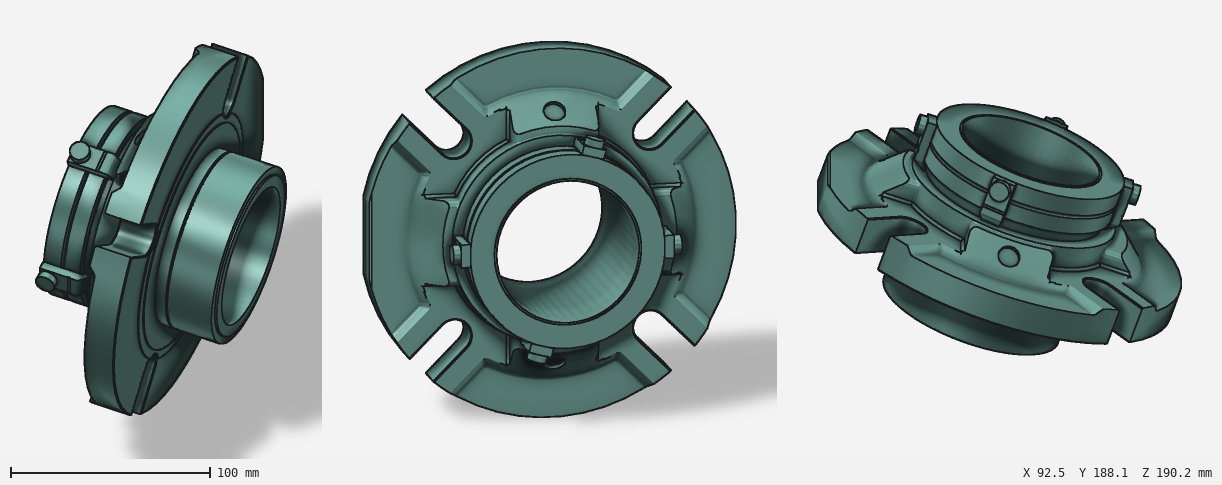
import cadquery as cq
import math

FRONT_FACE = 0.5
COLLAR_END = 9.9
RING_START = 11.8
RING_END = 20.4
NECK_START = 21.1
HUB_FACE = 26.3
LUG_FACE = 27.0
SHORT_LUG_FACE = 30.5
PAD_FACE = 39.0
SECTOR_FACE = 42.8
FLANGE_BACK = 59.0
OUTER_BOSS_BACK = 59.5
INNER_BOSS_BACK = 60.1
REAR_GROOVE_START = 66.2
REAR_GROOVE_END = 67.2
REAR_SHOULDER = 91.3
REAR_END = 92.5

BORE_RADIUS = 73.0 / 2
LIP_RADIUS = 37.7
COLLAR_RADIUS = 99.9 / 2
COLLAR_GROOVE_RADIUS = 87.7 / 2
SMALL_GROOVE_RADIUS = 90.5 / 2
NECK_RADIUS = 93.6 / 2
REAR_LIP_RADIUS = 42.6
HUB_RADIUS = 54.0
OUTER_BOSS_RADIUS = 65.3
INNER_BOSS_RADIUS = 120.0 / 2

FLANGE_RADIUS = 95.1
FLAT_DISTANCE = 93.0
FLAT_BEVEL_DEPTH = 1.3
RIM_CHAMFER = 0.5
SLOT_WIDTH = 17.0
SLOT_CHAMFER = 0.5
SLOT_CENTRE_RADIUS = 71.0
SLOT_ANGLES = (45, 135, 225, 315)
PAD_HALF_WIDTH = 19.5
PAD_BACK = FLANGE_BACK - RIM_CHAMFER
PAD_RISE = SECTOR_FACE - PAD_FACE

CONE_TOP_RADIUS = 58.6
CONE_BASE_RADIUS = 74.5
CONE_SLOPE = (CONE_BASE_RADIUS - CONE_TOP_RADIUS) / (SECTOR_FACE - LUG_FACE)
CONE_PAD_RADIUS = CONE_TOP_RADIUS + CONE_SLOPE * (PAD_FACE - LUG_FACE)
ROOT_FILLET = 3.5
PAD_CORNER_FILLET = 3.5
PAD_TOP_FILLET = 1.0

EDGE_MARGIN = 0.2
PAD_EDGE_INNER = 60.9
PAD_EDGE_OUTER = 89.5

LUG_END_FACES = {0: LUG_FACE, 90: SHORT_LUG_FACE, 180: LUG_FACE, 270: LUG_FACE}
LUG_HALF_WIDTH = 22.0
LUG_CORNER_FILLET = 3.5
LUG_ROOT_FILLET = 1.5
LUG_HOLE_ANGLES = (0, 180)
LUG_HOLE_DIAMETER = 11.0
LUG_HOLE_DEPTH = 2.3
LUG_HOLE_X = 33.3

CLIP_ANGLES = (15, 90, 195, 270)
CLIP_FRONT = 0.48
CLIP_WIDTH = 11.8
CLIP_TIP_WIDTH = 9.5
CLIP_BOTTOM = 49.8
CLIP_TOP = 54.6
CLIP_BEND_X = 21.5
CLIP_BEND_FILLET = 1.9
CLIP_TIP_TOP = 48.3
CLIP_GROOVE_X = 16.5
CLIP_GROOVE_WIDTH = 1.3
CLIP_GROOVE_DEPTH = 0.4
SCREW_DIAMETER = 10.0
SCREW_X = 5.1
SCREW_TOP = 58.6


def turned(profile):
    """Solid of revolution about X from (x, radius) points."""
    return cq.Workplane("XY").polyline(profile).close().revolve(360, (0, 0, 0), (1, 0, 0))


def disc(radius, start, end):
    """Round disc about X between two axial positions."""
    return cq.Workplane("YZ", origin=(start, 0, 0)).circle(radius).extrude(end - start)


def around(shape, angle):
    """Turn a shape about the X axis, from the +Z direction towards -Y."""
    return shape.rotate((0, 0, 0), (1, 0, 0), angle)


def make_flange():
    """Flange disc with raised pads and the conical lugs, before the slots are cut."""
    blank = turned([
        (LUG_FACE, 0),
        (LUG_FACE, CONE_TOP_RADIUS),
        (SECTOR_FACE, CONE_BASE_RADIUS),
        (SECTOR_FACE, FLANGE_RADIUS),
        (FLANGE_BACK - RIM_CHAMFER, FLANGE_RADIUS),
        (FLANGE_BACK, FLANGE_RADIUS - RIM_CHAMFER),
        (FLANGE_BACK, 0),
    ])
    rim = disc(FLANGE_RADIUS, PAD_FACE, PAD_BACK)
    for angle in SLOT_ANGLES:
        blank = blank.union(around(make_pad(), angle).intersect(rim))
    blank = blank.cut(make_lug_surround())
    corners = edges_centred_in(blank, (PAD_FACE + EDGE_MARGIN, SECTOR_FACE - EDGE_MARGIN))
    blank = corners.fillet(PAD_CORNER_FILLET)
    roots = edges_centred_in(blank, (SECTOR_FACE - EDGE_MARGIN, SECTOR_FACE + EDGE_MARGIN))
    blank = roots.fillet(ROOT_FILLET)
    tops = edges_centred_in(blank, (PAD_FACE - EDGE_MARGIN, PAD_FACE + EDGE_MARGIN))
    return tops.fillet(PAD_TOP_FILLET)


def edges_centred_in(shape, axial_range):
    """Edges of the pads and cone, between hub and rim, whose centres lie in an axial range."""
    start, end = axial_range
    chosen = []
    for edge in shape.edges().vals():
        centre = edge.Center()
        radius = math.hypot(centre.y, centre.z)
        if start < centre.x < end and PAD_EDGE_INNER < radius < PAD_EDGE_OUTER:
            chosen.append(edge)
    return shape.newObject(chosen)


def make_lug_surround():
    """Space around the four lugs, in front of the pads."""
    space = disc(FLANGE_RADIUS, LUG_FACE, PAD_FACE)
    for angle, face in LUG_END_FACES.items():
        space = space.cut(around(make_lug_block(face), angle))
    return space


def make_flat_cutter():
    """Prism that leaves a flat on the +Y rim, with both long edges bevelled."""
    bevel_start = FLAT_DISTANCE - FLAT_BEVEL_DEPTH
    return (
        cq.Workplane("XY", origin=(0, 0, -FLANGE_RADIUS))
        .moveTo(SECTOR_FACE, bevel_start)
        .lineTo(SECTOR_FACE + RIM_CHAMFER, FLAT_DISTANCE)
        .lineTo(FLANGE_BACK - RIM_CHAMFER, FLAT_DISTANCE)
        .lineTo(FLANGE_BACK, bevel_start)
        .lineTo(FLANGE_BACK, FLANGE_RADIUS)
        .lineTo(SECTOR_FACE, FLANGE_RADIUS)
        .close()
        .extrude(2 * FLANGE_RADIUS)
    )


def make_pad():
    """Raised band with sloping sides that runs outward along +Z."""
    inner = CONE_PAD_RADIUS - PAD_HALF_WIDTH
    foot = PAD_HALF_WIDTH + PAD_RISE
    return (
        cq.Workplane("XY", origin=(0, 0, inner))
        .moveTo(PAD_FACE, -PAD_HALF_WIDTH)
        .lineTo(PAD_FACE, PAD_HALF_WIDTH)
        .lineTo(SECTOR_FACE, foot)
        .lineTo(PAD_BACK, foot)
        .lineTo(PAD_BACK, -foot)
        .lineTo(SECTOR_FACE, -foot)
        .close()
        .extrude(FLANGE_RADIUS)
    )


def slot_outline(width, x):
    """Wire of the open slot on the +Z side, in a plane across the axis."""
    half = width / 2
    return (
        cq.Workplane("YZ", origin=(x, 0, 0))
        .moveTo(-half, FLANGE_RADIUS + half)
        .lineTo(-half, SLOT_CENTRE_RADIUS)
        .threePointArc((0, SLOT_CENTRE_RADIUS - half), (half, SLOT_CENTRE_RADIUS))
        .lineTo(half, FLANGE_RADIUS + half)
        .close()
    )


def make_slot():
    """Slot cutter that widens at both faces to chamfer the slot edges."""
    mouth_width = SLOT_WIDTH + 2 * SLOT_CHAMFER
    slot = slot_outline(SLOT_WIDTH, PAD_FACE).extrude(FLANGE_BACK - PAD_FACE)
    front = slot_outline(mouth_width, PAD_FACE).extrude(SLOT_CHAMFER, taper=45)
    back = slot_outline(mouth_width, FLANGE_BACK).extrude(-SLOT_CHAMFER, taper=45)
    boss_gap = slot_outline(mouth_width, FLANGE_BACK).extrude(INNER_BOSS_BACK - FLANGE_BACK)
    return slot.union(front).union(back).union(boss_gap)


def make_lug_block(face):
    """Block that bounds the +Z lug, with rounded front corners and flared roots."""
    side = LUG_HALF_WIDTH
    foot = side + LUG_ROOT_FILLET
    front_start = side - LUG_CORNER_FILLET
    corner_end = face + LUG_CORNER_FILLET
    root_start = PAD_FACE - LUG_ROOT_FILLET
    return (
        cq.Workplane("XY")
        .moveTo(PAD_FACE, -foot)
        .radiusArc((root_start, -side), LUG_ROOT_FILLET)
        .lineTo(corner_end, -side)
        .radiusArc((face, -front_start), LUG_CORNER_FILLET)
        .lineTo(face, front_start)
        .radiusArc((corner_end, side), LUG_CORNER_FILLET)
        .lineTo(root_start, side)
        .radiusArc((PAD_FACE, foot), LUG_ROOT_FILLET)
        .close()
        .extrude(FLANGE_RADIUS)
    )


def make_hub():
    """Round hub with a concave fillet where it meets the pads."""
    return (
        cq.Workplane("XY")
        .moveTo(HUB_FACE, 0)
        .lineTo(HUB_FACE, HUB_RADIUS)
        .lineTo(PAD_FACE - LUG_ROOT_FILLET, HUB_RADIUS)
        .radiusArc((PAD_FACE, HUB_RADIUS + LUG_ROOT_FILLET), LUG_ROOT_FILLET)
        .lineTo(PAD_FACE, 0)
        .close()
        .revolve(360, (0, 0, 0), (1, 0, 0))
    )


def blend_lugs(shape):
    """Fillet the corner between each lug and the round side of the hub."""
    seams = []
    for edge in shape.edges().vals():
        start = edge.startPoint()
        end = edge.endPoint()
        on_hub = all(
            abs(math.hypot(point.y, point.z) - HUB_RADIUS) < EDGE_MARGIN
            and point.x > HUB_FACE + EDGE_MARGIN
            for point in (start, end)
        )
        if on_hub and edge.Center().x < PAD_FACE - LUG_ROOT_FILLET - EDGE_MARGIN:
            seams.append(edge)
    return shape.newObject(seams).fillet(LUG_ROOT_FILLET)


def make_lug_hole():
    """Shallow blind hole square to the sloping face of the +Z lug."""
    radius = CONE_TOP_RADIUS + CONE_SLOPE * (LUG_HOLE_X - LUG_FACE)
    inward = cq.Vector(CONE_SLOPE, 0, -1).normalized()
    outer_end = cq.Vector(LUG_HOLE_X, 0, radius) - inward * LUG_HOLE_DEPTH
    return cq.Workplane(
        cq.Solid.makeCylinder(LUG_HOLE_DIAMETER / 2, 2 * LUG_HOLE_DEPTH, outer_end, inward)
    )


def make_sleeve():
    """Stepped sleeve with its collar, ring, rear boss and grooves, before boring."""
    return turned([
        (0, 0),
        (0, LIP_RADIUS),
        (FRONT_FACE, LIP_RADIUS),
        (FRONT_FACE, COLLAR_RADIUS),
        (COLLAR_END, COLLAR_RADIUS),
        (COLLAR_END, COLLAR_GROOVE_RADIUS),
        (RING_START, COLLAR_GROOVE_RADIUS),
        (RING_START, COLLAR_RADIUS),
        (RING_END, COLLAR_RADIUS),
        (RING_END, SMALL_GROOVE_RADIUS),
        (NECK_START, SMALL_GROOVE_RADIUS),
        (NECK_START, NECK_RADIUS),
        (FLANGE_BACK, NECK_RADIUS),
        (FLANGE_BACK, OUTER_BOSS_RADIUS),
        (OUTER_BOSS_BACK, OUTER_BOSS_RADIUS),
        (OUTER_BOSS_BACK, INNER_BOSS_RADIUS),
        (INNER_BOSS_BACK, INNER_BOSS_RADIUS),
        (INNER_BOSS_BACK, NECK_RADIUS),
        (REAR_GROOVE_START, NECK_RADIUS),
        (REAR_GROOVE_START, SMALL_GROOVE_RADIUS),
        (REAR_GROOVE_END, SMALL_GROOVE_RADIUS),
        (REAR_GROOVE_END, NECK_RADIUS),
        (REAR_SHOULDER, NECK_RADIUS),
        (REAR_SHOULDER, REAR_LIP_RADIUS),
        (REAR_END, REAR_LIP_RADIUS),
        (REAR_END, 0),
    ])


def make_clip():
    """Bent strap and screw head on the +Z side."""
    strap = (
        cq.Workplane("XZ", origin=(0, CLIP_WIDTH / 2, 0))
        .moveTo(CLIP_FRONT, CLIP_BOTTOM)
        .lineTo(CLIP_BEND_X, CLIP_BOTTOM)
        .lineTo(HUB_FACE, NECK_RADIUS)
        .lineTo(HUB_FACE, CLIP_TIP_TOP)
        .lineTo(CLIP_BEND_X, CLIP_TOP)
        .lineTo(CLIP_FRONT, CLIP_TOP)
        .close()
        .extrude(CLIP_WIDTH)
        .edges(cq.selectors.NearestToPointSelector((CLIP_BEND_X, 0, CLIP_TOP)))
        .fillet(CLIP_BEND_FILLET)
    )
    outline = (
        cq.Workplane("XY")
        .moveTo(0, -CLIP_WIDTH / 2)
        .lineTo(CLIP_BEND_X, -CLIP_WIDTH / 2)
        .lineTo(HUB_FACE, -CLIP_TIP_WIDTH / 2)
        .lineTo(HUB_FACE, CLIP_TIP_WIDTH / 2)
        .lineTo(CLIP_BEND_X, CLIP_WIDTH / 2)
        .lineTo(0, CLIP_WIDTH / 2)
        .close()
        .extrude(CLIP_TOP)
    )
    groove = cq.Workplane("XY").box(
        CLIP_GROOVE_WIDTH, CLIP_WIDTH, 2 * CLIP_GROOVE_DEPTH
    ).translate((CLIP_GROOVE_X, 0, CLIP_TOP))
    screw = (
        cq.Workplane("XY", origin=(SCREW_X, 0, CLIP_TOP))
        .circle(SCREW_DIAMETER / 2)
        .extrude(SCREW_TOP - CLIP_TOP)
    )
    return strap.intersect(outline).cut(groove).union(screw)


body = blend_lugs(make_flange().union(make_hub()))
for hole_angle in LUG_HOLE_ANGLES:
    body = body.cut(around(make_lug_hole(), hole_angle))
body = body.union(make_sleeve())
for slot_angle in SLOT_ANGLES:
    body = body.cut(around(make_slot(), slot_angle))
body = body.cut(make_flat_cutter())
for clip_angle in CLIP_ANGLES:
    body = body.union(around(make_clip(), clip_angle))
result = body.cut(disc(BORE_RADIUS, 0, REAR_END))